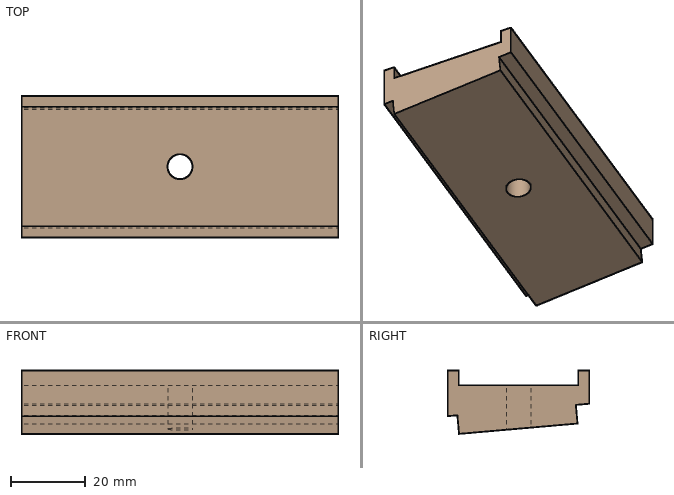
import cadquery as cq
import math

length = 85.0
width = 38.0
height = 17.1
rail_width = 3.0
rail_height = 4.0
tilt = math.radians(5.0)
foot_width = 32.0
foot_depth = 5.0
foot_low_corner_y = -16.0
hole_diameter = 6.6

half_width = width / 2
channel_half_width = half_width - rail_width
channel_floor = height - rail_height


def foot_point(along, up):
    """Return (Y, Z) at a distance along the slope and square to it."""
    y = foot_low_corner_y + along * math.cos(tilt) - up * math.sin(tilt)
    z = along * math.sin(tilt) + up * math.cos(tilt)
    return y, z


def ledge_height(y):
    """Return Z of the sloping ledges beside the foot."""
    ledge_y, ledge_z = foot_point(0, foot_depth)
    return ledge_z + (y - ledge_y) * math.tan(tilt)


section = [
    (-half_width, height),
    (-channel_half_width, height),
    (-channel_half_width, channel_floor),
    (channel_half_width, channel_floor),
    (channel_half_width, height),
    (half_width, height),
    (half_width, ledge_height(half_width)),
    foot_point(foot_width, foot_depth),
    foot_point(foot_width, 0),
    foot_point(0, 0),
    foot_point(0, foot_depth),
    (-half_width, ledge_height(-half_width)),
]
body = cq.Workplane("YZ").polyline(section).close().extrude(length / 2, both=True)

hole = cq.Workplane("XY").circle(hole_diameter / 2).extrude(height)

result = body.cut(hole)